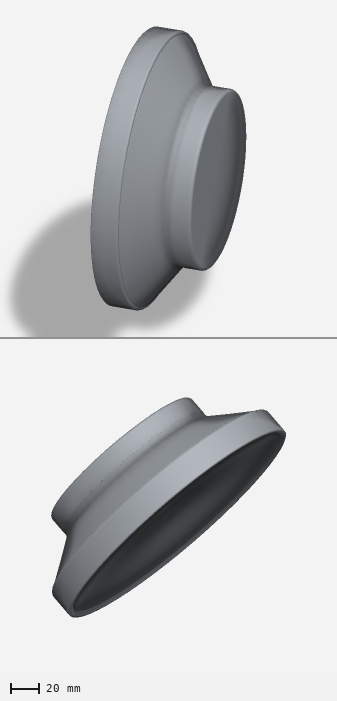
import cadquery as cq
import math

total_length = 63.0
rim_radius = 100.0
rim_length = 20.2

front_chamfer = 0.5
back_fillet = 1.8

insert_radius = 198.0 / 2
insert_depth = 17.5

bevel_outer_radius = 98.0
bevel_inner_radius = 94.5
bevel_depth = 2.2
border_width = 1.0
cone_depth = 8.8

taper_start_x = 20.5
taper_angle = math.radians(54.5)
blend_radius = 6.0
neck_radius = 130.0 / 2
neck_fillet = 2.5
groove_radius = 129.5 / 2
groove_start_x = 47.0
groove_width = 1.2


def revolve_about_x(profile):
    """Revolve a closed (X, radius) profile a full turn about the X axis."""
    return profile.close().revolve(360, (0, 0, 0), (1, 0, 0))


def make_housing():
    """Rim, tapered back and neck, with the flat-bottomed seat for the insert."""
    groove_end_x = groove_start_x + groove_width
    taper_end_x = groove_start_x - blend_radius * math.sin(taper_angle)
    taper_end_radius = groove_radius + blend_radius * (1 - math.cos(taper_angle))
    taper_start_radius = taper_end_radius + (taper_end_x - taper_start_x) * math.tan(taper_angle)
    profile = (
        cq.Workplane("XY")
        .moveTo(insert_depth, 0)
        .lineTo(insert_depth, insert_radius)
        .lineTo(0, insert_radius)
        .lineTo(0, rim_radius - front_chamfer)
        .lineTo(front_chamfer, rim_radius)
        .lineTo(rim_length - back_fillet, rim_radius)
        .tangentArcPoint((rim_length, rim_radius - back_fillet), relative=False)
        .lineTo(rim_length, taper_start_radius)
        .lineTo(taper_start_x, taper_start_radius)
        .lineTo(taper_end_x, taper_end_radius)
        .tangentArcPoint((groove_start_x, groove_radius), relative=False)
        .lineTo(groove_end_x, groove_radius)
        .lineTo(groove_end_x, neck_radius)
        .lineTo(total_length - neck_fillet, neck_radius)
        .tangentArcPoint((total_length, neck_radius - neck_fillet), relative=False)
        .lineTo(total_length, 0)
    )
    return revolve_about_x(profile)


def make_insert():
    """Round plug whose front is hollowed by the bevel and the shallow cone."""
    profile = (
        cq.Workplane("XY")
        .moveTo(bevel_depth + cone_depth, 0)
        .lineTo(bevel_depth, bevel_inner_radius - border_width)
        .lineTo(bevel_depth, bevel_inner_radius)
        .lineTo(0, bevel_outer_radius)
        .lineTo(0, insert_radius)
        .lineTo(insert_depth, insert_radius)
        .lineTo(insert_depth, 0)
    )
    return revolve_about_x(profile)


housing = make_housing()
insert = make_insert()
result = cq.Compound.makeCompound([housing.val(), insert.val()])